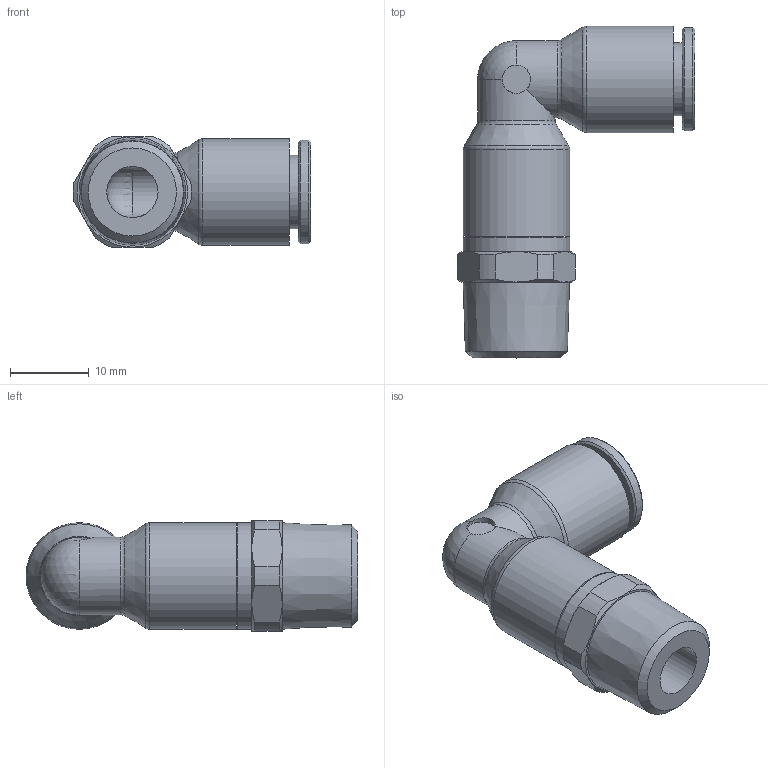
import cadquery as cq
import math


ELBOW_RADIUS = 4.9
BARREL_RADIUS = 6.75
BORE_RADIUS = 3.25
SHOULDER_START = 5.45
SHOULDER_ANGLE = 30.0
SHOULDER_FILLET = 1.0
BARREL_END = 19.9

COLLAR_NECK_RADIUS = 4.65
COLLAR_FLANGE_RADIUS = 6.55
COLLAR_FLANGE_START = 21.0
COLLAR_END = 22.6
COLLAR_CHAMFER = 0.25

SWIVEL_GAP = 0.12
SWIVEL_GAP_DEPTH = 0.75

HEX_SIDES = 6
HEX_START = 21.85
HEX_END = 25.7
HEX_ACROSS_FLATS = 14.0
HEX_CORNER_RADIUS = 7.5
HEX_CHAMFER_HEIGHT = 0.35
HEX_CHAMFER_WIDTH = 0.5

THREAD_END = 35.3
THREAD_GAUGE_POSITION = 30.8
THREAD_GAUGE_RADIUS = 13.157 / 2
THREAD_RADIUS_SLOPE = 1 / 32
THREAD_CHAMFER_LENGTH = 0.85
THREAD_FACE_RADIUS = 5.58

RECESS_RADIUS = 1.8
RECESS_FLOOR_Z = 4.1


def solid_along_branch(profile):
    """Revolve a (distance, radius) profile about the +X axis."""
    return profile.close().revolve(360, (0, 0, 0), (1, 0, 0))


def turn_to_body(solid):
    """Turn a solid built along +X so that it lies along -Y."""
    return solid.rotate((0, 0, 0), (0, 0, 1), -90)


def shouldered_barrel():
    """Elbow arm that widens through a rounded conical shoulder to the barrel."""
    angle = math.radians(SHOULDER_ANGLE)
    shoulder_end = SHOULDER_START + (BARREL_RADIUS - ELBOW_RADIUS) / math.tan(angle)
    tangent = SHOULDER_FILLET * math.tan(angle / 2)
    along_cone = tangent * math.cos(angle)
    across_cone = tangent * math.sin(angle)
    mid_along = SHOULDER_FILLET * math.sin(angle / 2)
    mid_across = SHOULDER_FILLET * (1 - math.cos(angle / 2))
    fillet_start = SHOULDER_START - tangent
    fillet_end = shoulder_end + tangent
    profile = (
        cq.Workplane("XY")
        .lineTo(0, ELBOW_RADIUS)
        .lineTo(fillet_start, ELBOW_RADIUS)
        .threePointArc(
            (fillet_start + mid_along, ELBOW_RADIUS + mid_across),
            (SHOULDER_START + along_cone, ELBOW_RADIUS + across_cone),
        )
        .lineTo(shoulder_end - along_cone, BARREL_RADIUS - across_cone)
        .threePointArc(
            (fillet_end - mid_along, BARREL_RADIUS - mid_across),
            (fillet_end, BARREL_RADIUS),
        )
        .lineTo(BARREL_END, BARREL_RADIUS)
        .lineTo(BARREL_END, 0)
    )
    return solid_along_branch(profile)


def cylinder_along_branch(start, end, radius):
    return cq.Workplane("YZ", origin=(start, 0, 0)).circle(radius).extrude(end - start)


def release_collar():
    neck = cylinder_along_branch(BARREL_END, COLLAR_FLANGE_START, COLLAR_NECK_RADIUS)
    flange = cylinder_along_branch(COLLAR_FLANGE_START, COLLAR_END, COLLAR_FLANGE_RADIUS)
    return neck.union(flange.edges().chamfer(COLLAR_CHAMFER))


def swivel_stud():
    gap_end = BARREL_END + SWIVEL_GAP
    core = cylinder_along_branch(BARREL_END, gap_end, BARREL_RADIUS - SWIVEL_GAP_DEPTH)
    return core.union(cylinder_along_branch(gap_end, HEX_START, BARREL_RADIUS))


def hex_nut():
    """Hexagon with flats facing +Z and -Z, and corners turned round and chamfered."""
    across_corners = HEX_ACROSS_FLATS / math.cos(math.pi / HEX_SIDES)
    length = HEX_END - HEX_START
    base = cq.Workplane("YZ", origin=(HEX_START, 0, 0))
    prism = base.polygon(HEX_SIDES, across_corners).extrude(length)
    turned_envelope = cylinder_along_branch(HEX_START, HEX_END, HEX_CORNER_RADIUS)
    turned_envelope = turned_envelope.edges("<X").chamfer(HEX_CHAMFER_HEIGHT, HEX_CHAMFER_WIDTH)
    turned_envelope = turned_envelope.edges(">X").chamfer(HEX_CHAMFER_HEIGHT, HEX_CHAMFER_WIDTH)
    return prism.intersect(turned_envelope)


def thread_radius(position):
    return THREAD_GAUGE_RADIUS + (THREAD_GAUGE_POSITION - position) * THREAD_RADIUS_SLOPE


def taper_thread():
    chamfer_start = THREAD_END - THREAD_CHAMFER_LENGTH
    profile = (
        cq.Workplane("XY")
        .moveTo(HEX_END, 0)
        .lineTo(HEX_END, thread_radius(HEX_END))
        .lineTo(chamfer_start, thread_radius(chamfer_start))
        .lineTo(THREAD_END, THREAD_FACE_RADIUS)
        .lineTo(THREAD_END, 0)
    )
    return solid_along_branch(profile)


def bore():
    """Passage through both arms with a ball-shaped turn at the elbow centre."""
    branch_bore = cylinder_along_branch(0, COLLAR_END, BORE_RADIUS)
    body_bore = turn_to_body(cylinder_along_branch(0, THREAD_END, BORE_RADIUS))
    return branch_bore.union(body_bore).union(cq.Workplane("XY").sphere(BORE_RADIUS))


def top_recess():
    depth = ELBOW_RADIUS - RECESS_FLOOR_Z
    return cq.Workplane("XY", origin=(0, 0, RECESS_FLOOR_Z)).circle(RECESS_RADIUS).extrude(depth)


elbow_ball = cq.Workplane("XY").sphere(ELBOW_RADIUS)
branch = shouldered_barrel().union(release_collar())
body = shouldered_barrel().union(swivel_stud()).union(hex_nut()).union(taper_thread())

result = branch.union(turn_to_body(body)).union(elbow_ball)
result = result.cut(bore()).cut(top_recess())